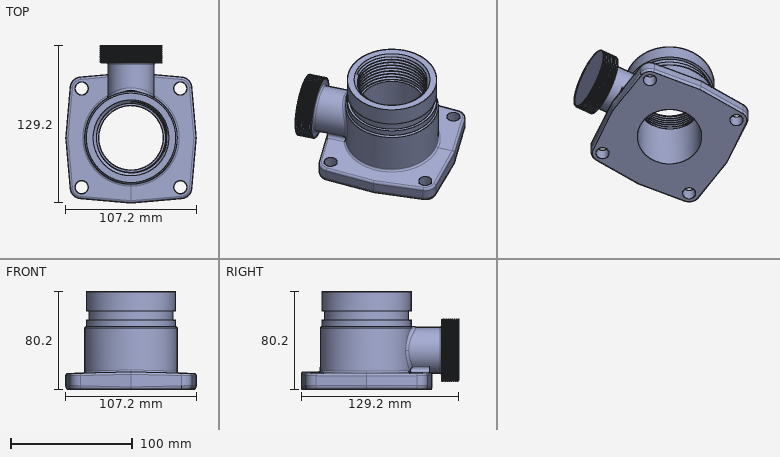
import cadquery as cq
import math

PLATE_HALF_WIDTH = 53.58
SIDE_SLOPE = math.radians(5)
CORNER_RADIUS = 9.3
DRAFT = math.radians(1.4)
PLATE_EDGE_TOP = 12.95
PLATE_EDGE_BOTTOM = -0.85
PLATE_TOP_FILLET = 2.0
PLATE_BOTTOM_FILLET = 4.0
BOLT_SPACING = 81.0
BOLT_HOLE_DIAMETER = 10.6

HEIGHT = 80.16
BODY_RADIUS = 38.0
RIM_RADIUS = 36.7
GROOVE_RADIUS = 34.6
SHOULDER_Z = 51.7
GROOVE_BOTTOM_Z = 56.7
GROOVE_TOP_Z = 64.4
BODY_BASE_FILLET = 1.6

BORE_RADIUS = 26.4
SOCKET_RADIUS = 28.35
SOCKET_FLOOR_Z = 53.7
MOUTH_RADIUS = 31.1
SOCKET_THREAD_PITCH = 3.2
SOCKET_THREAD_DEPTH = 1.6
SOCKET_THREAD_TURNS = 7.25

BRANCH_Z = 32.0
BRANCH_END_Y = 75.65
NECK_RADIUS = 19.0
COLLAR_RADIUS = 25.5
COLLAR_LENGTH = 14.1
COLLAR_FILLET = 1.3
COLLAR_THREAD_PITCH = 1.6
COLLAR_THREAD_DEPTH = 1.1
BRANCH_BODY_FILLET = 3.0
BRANCH_PLATE_FILLET = 2.75

OVERLAP = 0.2

PLATE_CORNER = PLATE_HALF_WIDTH / (1 + math.tan(SIDE_SLOPE))
RIDGE_RISE = PLATE_HALF_WIDTH * math.tan(DRAFT)
RIDGE_Z = PLATE_EDGE_TOP + RIDGE_RISE
CORNER_SIGNS = [(1, 1), (-1, 1), (-1, -1), (1, -1)]


def plate_prism():
    """Rounded square column whose sides bow out to a blunt point at each middle."""
    mid = PLATE_HALF_WIDTH
    corner = PLATE_CORNER
    outline = [
        (mid, 0), (corner, corner), (0, mid), (-corner, corner),
        (-mid, 0), (-corner, -corner), (0, -mid), (corner, -corner),
    ]
    prism = cq.Workplane("XY").polyline(outline).close().extrude(HEIGHT / 2, both=True)
    for x_sign, y_sign in CORNER_SIGNS:
        upright = cq.NearestToPointSelector((x_sign * corner, y_sign * corner, 0))
        prism = prism.edges(upright).fillet(CORNER_RADIUS)
    return prism


def round_ridged_face(plate, facing, radius):
    """Round the outer edges of the two sloping halves of the top (1) or bottom (-1)."""
    steepness = 0.9
    halves = [face for face in plate.faces().vals() if facing * face.normalAt().z > steepness]
    edges = [edge for face in halves for edge in face.Edges()]
    rim = [edge for edge in edges if abs(edge.Center().x) > OVERLAP]
    return plate.newObject(rim).fillet(radius)


def make_plate():
    half = PLATE_HALF_WIDTH
    ridged_slab = (
        cq.Workplane("XZ")
        .moveTo(-half, PLATE_EDGE_BOTTOM)
        .lineTo(0, PLATE_EDGE_BOTTOM - RIDGE_RISE)
        .lineTo(half, PLATE_EDGE_BOTTOM)
        .lineTo(half, PLATE_EDGE_TOP)
        .lineTo(0, RIDGE_Z)
        .lineTo(-half, PLATE_EDGE_TOP)
        .close()
        .extrude(half, both=True)
    )
    plate = ridged_slab.intersect(plate_prism())
    plate = round_ridged_face(plate, 1, PLATE_TOP_FILLET)
    plate = round_ridged_face(plate, -1, PLATE_BOTTOM_FILLET)
    below_base = cq.Workplane("XY").rect(3 * half, 3 * half).extrude(-HEIGHT)
    return plate.cut(below_base)


def add_body(plate):
    """Stand the body on the plate and round the joint between them."""
    body = cq.Workplane("XY").circle(BODY_RADIUS).extrude(SHOULDER_Z)
    joined = plate.union(body)
    joint_height = 2 * BODY_RADIUS * math.tan(DRAFT)
    joint_zone = cq.selectors.BoxSelector(
        (-BODY_RADIUS - 1, -BODY_RADIUS - 1, RIDGE_Z - joint_height),
        (BODY_RADIUS + 1, BODY_RADIUS + 1, RIDGE_Z + OVERLAP),
        boundingbox=True,
    )
    return joined.edges(joint_zone).fillet(BODY_BASE_FILLET)


def make_neck():
    """Branch neck, blended into a stub of the body that it springs from."""
    neck = cq.Workplane("XZ").center(0, BRANCH_Z).circle(NECK_RADIUS).extrude(-BRANCH_END_Y)
    stub = cq.Workplane("XY").circle(BODY_RADIUS).extrude(SHOULDER_Z + 2 * BRANCH_BODY_FILLET)
    blend_zone = cq.selectors.BoxSelector(
        (-NECK_RADIUS - 1, OVERLAP, BRANCH_Z - NECK_RADIUS - 1),
        (NECK_RADIUS + 1, BODY_RADIUS + 1, BRANCH_Z + NECK_RADIUS + 1),
        boundingbox=True,
    )
    blended = neck.union(stub).edges(blend_zone).fillet(BRANCH_BODY_FILLET)
    span = 3 * BODY_RADIUS
    below_shoulder = cq.Workplane("XY").rect(span, 2 * span).extrude(SHOULDER_Z)
    return blended.intersect(below_shoulder)


def make_web():
    """Fill between the underside of the neck and the plate, with a concave arc each side."""
    r = BRANCH_PLATE_FILLET
    floor_z = RIDGE_Z - NECK_RADIUS * math.tan(DRAFT)
    arc_z = floor_z + r
    arc_x = math.sqrt((NECK_RADIUS + r) ** 2 - (BRANCH_Z - arc_z) ** 2)
    neck_share = NECK_RADIUS / (NECK_RADIUS + r)
    touch_x = arc_x * neck_share
    touch_z = BRANCH_Z - (BRANCH_Z - arc_z) * neck_share
    middle_angle = (math.atan2(touch_z - arc_z, arc_x - touch_x) - math.pi / 2) / 2
    middle_x = arc_x - r * math.cos(middle_angle)
    middle_z = arc_z + r * math.sin(middle_angle)
    root_z = floor_z - PLATE_TOP_FILLET
    web_end_y = PLATE_HALF_WIDTH - PLATE_TOP_FILLET
    return (
        cq.Workplane("XZ")
        .moveTo(-arc_x, root_z)
        .lineTo(arc_x, root_z)
        .lineTo(arc_x, floor_z)
        .threePointArc((middle_x, middle_z), (touch_x, touch_z))
        .lineTo(-touch_x, touch_z)
        .threePointArc((-middle_x, middle_z), (-arc_x, floor_z))
        .close()
        .extrude(-web_end_y)
    )


def make_rim():
    """Grooved coupling rim standing on the body shoulder."""
    return (
        cq.Workplane("XZ")
        .moveTo(0, SHOULDER_Z - OVERLAP)
        .lineTo(RIM_RADIUS, SHOULDER_Z - OVERLAP)
        .lineTo(RIM_RADIUS, GROOVE_BOTTOM_Z)
        .lineTo(GROOVE_RADIUS, GROOVE_BOTTOM_Z)
        .lineTo(GROOVE_RADIUS, GROOVE_TOP_Z)
        .lineTo(RIM_RADIUS, GROOVE_TOP_Z)
        .lineTo(RIM_RADIUS, HEIGHT)
        .lineTo(0, HEIGHT)
        .close()
        .revolve(360, (0, 0, 0), (0, 1, 0))
    )


def shoulder_bevel():
    """Cutter that slopes the outer edge of the body shoulder."""
    drop = BODY_RADIUS - RIM_RADIUS
    return (
        cq.Workplane("XZ")
        .moveTo(RIM_RADIUS, SHOULDER_Z)
        .lineTo(BODY_RADIUS, SHOULDER_Z)
        .lineTo(BODY_RADIUS, SHOULDER_Z - drop)
        .close()
        .revolve(360, (0, 0, 0), (0, 1, 0))
    )


def thread_groove(root_radius, depth, outward, pitch, start_z, turns):
    """Helical V groove about Z, cut to the given depth inward (-1) or outward (1)."""
    half_width = 0.45 * pitch
    open_radius = root_radius - outward * OVERLAP
    deep_radius = root_radius + outward * depth
    helix = cq.Wire.makeHelix(pitch, turns * pitch, root_radius).translate(cq.Vector(0, 0, start_z))
    return (
        cq.Workplane("XZ")
        .moveTo(open_radius, start_z - half_width)
        .lineTo(open_radius, start_z + half_width)
        .lineTo(deep_radius, start_z)
        .close()
        .sweep(cq.Workplane(obj=helix), isFrenet=True)
    )


def make_bore():
    """Bore, wider threaded socket above it and the flared mouth, as one cutter."""
    flare = MOUTH_RADIUS - SOCKET_RADIUS
    bore = (
        cq.Workplane("XZ")
        .lineTo(BORE_RADIUS, 0)
        .lineTo(BORE_RADIUS, SOCKET_FLOOR_Z)
        .lineTo(SOCKET_RADIUS, SOCKET_FLOOR_Z)
        .lineTo(SOCKET_RADIUS, HEIGHT - flare)
        .lineTo(MOUTH_RADIUS, HEIGHT)
        .lineTo(0, HEIGHT)
        .close()
        .revolve(360, (0, 0, 0), (0, 1, 0))
    )
    groove = thread_groove(
        SOCKET_RADIUS, SOCKET_THREAD_DEPTH, 1, SOCKET_THREAD_PITCH,
        SOCKET_FLOOR_Z + SOCKET_THREAD_PITCH / 2, SOCKET_THREAD_TURNS,
    )
    return bore.union(groove)


def make_collar():
    """Threaded collar at the end of the branch, with a rounded root on the neck."""
    root_radius = NECK_RADIUS + COLLAR_FILLET
    collar = (
        cq.Workplane("XZ")
        .moveTo(0, -COLLAR_FILLET)
        .lineTo(NECK_RADIUS, -COLLAR_FILLET)
        .radiusArc((root_radius, 0), COLLAR_FILLET)
        .lineTo(COLLAR_RADIUS, 0)
        .lineTo(COLLAR_RADIUS, COLLAR_LENGTH)
        .lineTo(0, COLLAR_LENGTH)
        .close()
        .revolve(360, (0, 0, 0), (0, 1, 0))
    )
    turns = COLLAR_LENGTH / COLLAR_THREAD_PITCH + 1
    groove = thread_groove(
        COLLAR_RADIUS, COLLAR_THREAD_DEPTH, -1, COLLAR_THREAD_PITCH, -COLLAR_THREAD_PITCH / 2, turns,
    )
    threaded = collar.cut(groove)
    lying = threaded.rotate((0, 0, 0), (1, 0, 0), -90)
    return lying.translate((0, BRANCH_END_Y - COLLAR_LENGTH, BRANCH_Z))


def bolt_holes():
    return (
        cq.Workplane("XY")
        .rect(BOLT_SPACING, BOLT_SPACING, forConstruction=True)
        .vertices()
        .circle(BOLT_HOLE_DIAMETER / 2)
        .extrude(HEIGHT)
    )


housing = add_body(make_plate()).union(make_web()).union(make_neck())
housing = housing.cut(shoulder_bevel()).union(make_rim()).union(make_collar())
result = housing.cut(make_bore()).cut(bolt_holes())